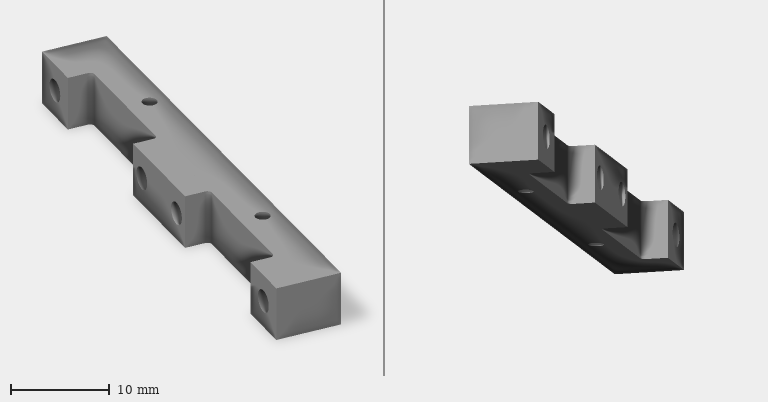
import cadquery as cq

length = 54.0
depth = 7.3
height = 6.0

end_pad_length = 6.0
middle_pad_length = 12.0
notch_depth = 2.75
notch_corner_radius = 0.5
notch_length = (length - middle_pad_length) / 2 - end_pad_length
notch_center_x = (middle_pad_length + notch_length) / 2

mounting_hole_diameter = 2.5
middle_hole_spacing = 8.0
end_hole_x = (length - end_pad_length) / 2
middle_hole_x = middle_hole_spacing / 2

pin_hole_diameter = 1.6
pin_hole_spacing = 26.05
pin_hole_back_offset = 2.0
pin_hole_x = pin_hole_spacing / 2
pin_hole_y = depth / 2 - pin_hole_back_offset


def make_notch(center_x):
    """Block open to the front, with rounded inner vertical corners."""
    center_y = (notch_depth - depth) / 2
    block = cq.Workplane("XY").box(notch_length, notch_depth, height)
    return block.edges("|Z and >Y").fillet(notch_corner_radius).translate((center_x, center_y, 0))


result = cq.Workplane("XY").box(length, depth, height)

for side in (-1, 1):
    result = result.cut(make_notch(side * notch_center_x))

mounting_holes = (
    cq.Workplane("XZ")
    .pushPoints([(x, 0) for x in (-end_hole_x, -middle_hole_x, middle_hole_x, end_hole_x)])
    .circle(mounting_hole_diameter / 2)
    .extrude(depth, both=True)
)
pin_holes = (
    cq.Workplane("XY")
    .pushPoints([(x, pin_hole_y) for x in (-pin_hole_x, pin_hole_x)])
    .circle(pin_hole_diameter / 2)
    .extrude(height, both=True)
)
result = result.cut(mounting_holes).cut(pin_holes)